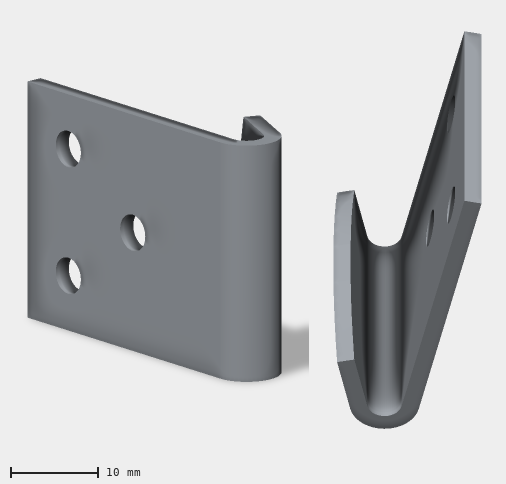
import cadquery as cq
import math

length = 37.0
depth = 11.5
height = 28.0
thickness = 2.0
bend_radius = 4.0
flange_angle = 24.0
hole_diameter = 4.3
outer_hole_x = 7.0
outer_hole_offset = 7.5
center_hole_x = 18.02
tip_flat = 6.0
tip_radius = 40.0
corner_setback = 2.07

slope = math.radians(flange_angle)
inner_radius = bend_radius - thickness
bend_x = length - bend_radius
bend_y = bend_radius
flange_length = (depth - bend_y - bend_radius * math.cos(slope)) / math.sin(slope)


def bend_point(radius, angle):
    """Point at the given radius and angle around the bend axis."""
    return (bend_x + radius * math.cos(angle), bend_y + radius * math.sin(angle))


def flange_tip(radius):
    """End of the flange face that leaves the bend tangentially at this radius."""
    x, y = bend_point(radius, math.pi / 2 - slope)
    return (x - flange_length * math.cos(slope), y + flange_length * math.sin(slope))


def bent_sheet():
    """Flat plate, round bend and sloping flange, extruded along Z."""
    bend_end = math.pi / 2 - slope
    bend_middle = (bend_end - math.pi / 2) / 2
    return (
        cq.Workplane("XY")
        .moveTo(0, 0)
        .lineTo(bend_x, 0)
        .threePointArc(bend_point(bend_radius, bend_middle), bend_point(bend_radius, bend_end))
        .lineTo(*flange_tip(bend_radius))
        .lineTo(*flange_tip(inner_radius))
        .lineTo(*bend_point(inner_radius, bend_end))
        .threePointArc(bend_point(inner_radius, bend_middle), (bend_x, thickness))
        .lineTo(0, thickness)
        .close()
        .extrude(height)
    )


def tip_corner(side):
    """Waste outside one tip arc; side (+1 or -1) picks the end of the tip."""
    flat_end = side * tip_flat / 2
    corner = side * height / 2
    reach = (height - tip_flat) / 2

    chord = math.hypot(reach, corner_setback)
    bulge = tip_radius - math.sqrt(tip_radius ** 2 - (chord / 2) ** 2)
    arc_middle = (
        corner_setback / 2 - bulge * reach / chord,
        flat_end + side * (reach / 2 + bulge * corner_setback / chord),
    )

    tip_plane = cq.Plane(
        origin=(*flange_tip(bend_radius), height / 2),
        xDir=(math.cos(slope), -math.sin(slope), 0),
        normal=(-math.sin(slope), -math.cos(slope), 0),
    )
    return (
        cq.Workplane(tip_plane)
        .moveTo(0, flat_end)
        .threePointArc(arc_middle, (corner_setback, corner))
        .lineTo(0, corner)
        .close()
        .extrude(thickness)
    )


def plate_holes():
    """Three round holes through the flat plate."""
    middle = height / 2
    centers = [
        (outer_hole_x, middle - outer_hole_offset),
        (outer_hole_x, middle + outer_hole_offset),
        (center_hole_x, middle),
    ]
    return (
        cq.Workplane("XZ")
        .pushPoints(centers)
        .circle(hole_diameter / 2)
        .extrude(-thickness)
    )


result = bent_sheet().cut(plate_holes())
for side in (1, -1):
    result = result.cut(tip_corner(side))